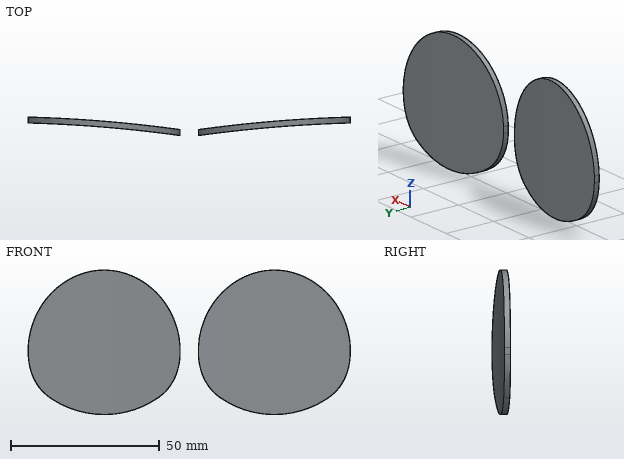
import cadquery as cq

PAIR_WIDTH = 108.7

LENS_WIDTH = 51.3
TOP_Z = 24.5
BOTTOM_Z = -24.4
HALF_WIDTH = LENS_WIDTH / 2
WIDEST_Z = -1.6
CENTRE_X = PAIR_WIDTH / 2 - HALF_WIDTH

LOWER_CORNER = (18.5, -18.5)
SIDE_POINTS = [
    LOWER_CORNER,
    (24.6, -10.1),
    (HALF_WIDTH, WIDEST_Z),
    (22.8, 9.5),
    (17.3, 17.2),
    (9.3, 22.5),
]

THICKNESS = 2.1
INNER_EDGE_DROP = 4.2
CENTRE_DROP = 1.4


def lens_outline():
    """Rounded upper curve closed by a shallow arc, in the XZ plane."""
    left_side = [(-x, z) for x, z in SIDE_POINTS]
    upper_curve = SIDE_POINTS + [(0, TOP_Z)] + left_side[::-1]
    return (
        cq.Workplane("XZ")
        .center(CENTRE_X, 0)
        .spline(upper_curve)
        .threePointArc((0, BOTTOM_Z), LOWER_CORNER)
        .close()
    )


def curved_plate():
    """Plate of even thickness along Y, bent in plan and taller than the lens."""
    outer_x = CENTRE_X + HALF_WIDTH
    inner_x = CENTRE_X - HALF_WIDTH
    return (
        cq.Workplane("XY")
        .workplane(offset=-LENS_WIDTH / 2)
        .moveTo(outer_x, 0)
        .threePointArc((CENTRE_X, -CENTRE_DROP), (inner_x, -INNER_EDGE_DROP))
        .lineTo(inner_x, -INNER_EDGE_DROP - THICKNESS)
        .threePointArc((CENTRE_X, -CENTRE_DROP - THICKNESS), (outer_x, -THICKNESS))
        .close()
        .extrude(LENS_WIDTH)
    )


def make_lens(mirrored):
    """One lens; the mirrored one lies on the -X side."""
    blank = lens_outline().extrude(LENS_WIDTH, both=True)
    lens = curved_plate().intersect(blank)
    return lens.mirror("YZ") if mirrored else lens


lenses = [make_lens(mirrored) for mirrored in (True, False)]

result = cq.Compound.makeCompound([lens.val() for lens in lenses])